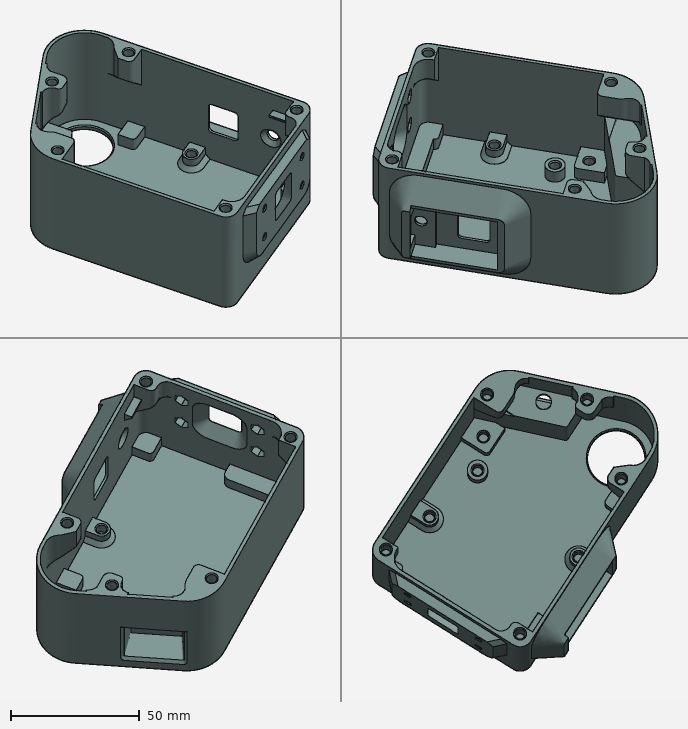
import cadquery as cq
import math

overall_length = 112.0
overall_width = 82.5
height = 48.4
body_length = 108.1
body_width = 72.2
wall = 1.5
floor = 2.0
reach = 44.8

corner_radius = 5.0
hub_radius = 16.2
nose_radius = 16.0
slant_angle = 20.0
slant_cos = math.cos(math.radians(slant_angle))
slant_sin = math.sin(math.radians(slant_angle))

hub = (hub_radius, body_width - hub_radius)
slant_offset = slant_cos * hub[0] + slant_sin * hub[1] - hub_radius
nose = ((slant_offset + nose_radius * (1 - slant_sin)) / slant_cos, nose_radius)

back_inside = body_width - wall
right_inside = body_length - wall

screw_diameter = 4.0
screw_entry_diameter = 5.0
screw_entry_depth = (screw_entry_diameter - screw_diameter) / 2
post_screw_depth = 10.1
block_screw_depth = 5.0

post_left_x = 33.7
post_right_x = 99.7
post_length = 10.1
front_left_post_length = 13.8
post_tip_height = 10.5
post_rounding = 2.2
back_right_cove = 4.0
front_right_post_length = 8.7
front_right_cove = 5.8
side_post_x = 15.8
side_post_y = (36.2, 43.9)

screw_left_x = 29.9
screw_right_x = 102.9
screw_edge = 5.2
post_screws = [
    (screw_left_x, screw_edge),
    (screw_right_x, screw_edge),
    (screw_left_x, body_width - screw_edge),
    (screw_right_x, body_width - screw_edge),
    (10.6, 39.0),
]

block_top = 7.5
block_rounding = 1.7
block_left_x = 35.0
block_right_x = 97.9
screw_block_x = 42.9
shelf_y = 32.9
block_screw = (37.9, 8.5)
back_boss = (58.0, 65.4)
front_boss = (75.8, 8.0)
boss_radius = 3.5
boss_foot = 1.9
round_boss = (50.3, 13.8)
round_boss_diameter = 8.0

floor_hole_diameter = 22.3
floor_hole_rim_diameter = 23.3

ledge_x = (90.7, post_right_x)
ledge_depth = 3.2
ledge_top = 39.9
ledge_lip = 1.0

flank_start = (27.7, body_width - post_length)
flank_end = (23.5, 67.0)
flank_cove_mid = (22.3, 69.0)
flank_cove_x = 19.0
nose_shoulder_x = 25.2
nose_dip_start = (22.3, 13.0)
nose_dip = (19.6, 12.4)
nose_dip_end = (15.9, 15.2)
side_roundings = (1.7, 3.0)
side_cove_x = (13.9, 7.4)
side_cove_high = (4.5, 47.0)
side_cove_mid = (5.6, 45.1)
side_cove_low = (10.1, 31.7)
front_block_y = 10.4
shelf_rounding = 2.8
housing_rounding = 1.1

recess_center_y = 21.4
recess_bottom = 5.6
recess_top = 27.2
recess_depth = 12.3
recess_mouth_width = 23.5
recess_back_width = 20.2
recess_bevel = 1.2
recess_rounding = 0.6
roof_clip_x = 28.0
finger_hole = (17.1, 23.1)
finger_hole_diameter = 6.0

inlet_y = (9.9, 64.3)
inlet_bottom = 12.3
inlet_top = 44.5
inlet_rounding = 9.1
inlet_chamfer_y = 2.8
inlet_chamfer_z = 2.2
inlet_center_y = 37.3
inlet_center_z = 30.9
inlet_inner_size = (23.4, 23.3)
inlet_inner_rounding = 6.6
inlet_outer_size = (13.9, 15.0)
inlet_outer_rounding = 1.5
nut_spacing_y = 32.6
nut_spacing_z = 15.2
nut_flats = 5.5
nut_depth = 4.7
nut_screw_diameter = 3.2

socket_x = (46.3, 102.8)
socket_center_z = 24.3
socket_height = 45.5
socket_left_rounding = 11.2
socket_right_rounding = 12.2
socket_right_run = 7.4
socket_tip_rounding = 1.1
socket_step_x = 92.2
socket_face_y = 80.7
socket_pocket_left = 57.7
socket_pocket_height = 25.8
catch_depth = 1.7
catch_height = 15.8
catch_end_y = 81.6
window_x = (62.7, 75.6)
window_z = (16.6, 31.6)
window_rounding = 1.7
window_wall = 1.0
countersink_x = 89.8
countersink_diameter = 8.8
bore_diameter = 5.0
pad_left_x = 84.0
pad_depth = 3.0


def block(x, y, z):
    """Box between the given (low, high) limits on each axis."""
    size = (x[1] - x[0], y[1] - y[0], z[1] - z[0])
    return cq.Workplane("XY").box(*size, centered=False).translate((x[0], y[0], z[0]))


def enclosure(inset, bottom):
    """Solid of the enclosure outline, moved inwards by inset, from bottom to the rim."""
    hub_r = hub_radius - inset
    nose_r = nose_radius - inset
    corner_r = corner_radius - inset
    right = body_length - inset
    back = body_width - inset
    right_center = body_length - corner_radius
    slant_normal = 180 + slant_angle
    hub_mid = math.radians((90 + slant_normal) / 2)
    nose_mid = math.radians((270 + slant_normal) / 2)
    return (
        cq.Workplane("XY", origin=(0, 0, bottom))
        .moveTo(nose[0], inset)
        .lineTo(right_center, inset)
        .radiusArc((right, corner_radius), -corner_r)
        .lineTo(right, body_width - corner_radius)
        .radiusArc((right_center, back), -corner_r)
        .lineTo(hub[0], back)
        .threePointArc(
            (hub[0] + hub_r * math.cos(hub_mid), hub[1] + hub_r * math.sin(hub_mid)),
            (hub[0] - hub_r * slant_cos, hub[1] - hub_r * slant_sin),
        )
        .lineTo(nose[0] - nose_r * slant_cos, nose[1] - nose_r * slant_sin)
        .threePointArc(
            (nose[0] + nose_r * math.cos(nose_mid), nose[1] + nose_r * math.sin(nose_mid)),
            (nose[0], inset),
        )
        .close()
        .extrude(height - bottom)
    )


def slant_point(y):
    """Point of the outer slanted wall plane at the given y."""
    return ((slant_offset - slant_sin * y) / slant_cos, y)


def under_overhang(solid, origin, inward, tip):
    """Undercut a post: 45 degrees up from the wall plane at origin, level beyond the tip distance."""
    tip_z = height - post_tip_height
    plane = cq.Plane(
        origin=(origin[0], origin[1], 0),
        xDir=(inward[0], inward[1], 0),
        normal=(inward[1], -inward[0], 0),
    )
    profile = [(0, height), (reach, height), (reach, tip_z), (tip, tip_z), (0, tip_z - tip)]
    return solid.intersect(cq.Workplane(plane).polyline(profile).close().extrude(reach, both=True))


def full_height(outline):
    """Close an outline and extrude it from the underside to the rim."""
    return outline.close().extrude(height)


def mirror_y(solid):
    """Mirror a solid about the mid-width plane."""
    return solid.mirror("XZ", (0, body_width / 2, 0))


def right_post(length, cove):
    """Post in the front-right corner with a concave blend into the right wall."""
    post = block((post_right_x, body_length), (0, length), (0, height))
    blend = block((right_inside - cove, body_length), (length, length + cove), (0, height))
    hollow = cq.Workplane("XY").center(right_inside - cove, length + cove).circle(cove).extrude(height)
    return post, blend.cut(hollow)


def front_right_post():
    """Square-edged post with a wide blend into the right wall."""
    post, blend = right_post(front_right_post_length, front_right_cove)
    return under_overhang(post.union(blend), (body_length, 0), (0, 1), front_right_post_length)


def back_right_post():
    """Post with a rounded edge, built in front and mirrored to the back."""
    post, blend = right_post(post_length, back_right_cove)
    post = post.edges("|Z and <X and >Y").fillet(post_rounding)
    return mirror_y(under_overhang(post.union(blend), (body_length, 0), (0, 1), post_length))


def back_left_post():
    """Post whose left flank is hollowed around the hub."""
    tip_y = body_width - post_length
    outline = (
        cq.Workplane("XY")
        .moveTo(post_left_x, body_width)
        .lineTo(post_left_x, tip_y + post_rounding)
        .radiusArc((post_left_x - post_rounding, tip_y), post_rounding)
        .lineTo(*flank_start)
        .lineTo(*flank_end)
        .threePointArc(flank_cove_mid, (flank_cove_x, back_inside))
        .lineTo(flank_cove_x, body_width)
    )
    return under_overhang(full_height(outline), (post_left_x, body_width), (0, -1), post_length)


def front_left_post():
    """Large post that fills the nose and blends into the slanted wall."""
    tip_y = front_left_post_length
    outline = (
        cq.Workplane("XY")
        .moveTo(post_left_x, 0)
        .lineTo(post_left_x, tip_y - post_rounding)
        .radiusArc((post_left_x - post_rounding, tip_y), -post_rounding)
        .lineTo(nose_shoulder_x, tip_y)
        .tangentArcPoint(nose_dip_start, relative=False)
        .threePointArc(nose_dip, nose_dip_end)
        .lineTo(*slant_point(nose_dip_end[1]))
        .lineTo(*slant_point(0))
    )
    return under_overhang(full_height(outline), (post_left_x, 0), (0, 1), tip_y)


def side_post():
    """Post on the slanted wall, blended into it on both sides."""
    low_y, high_y = side_post_y
    tip = slant_cos * side_post_x + slant_sin * high_y - slant_offset
    outline = (
        cq.Workplane("XY")
        .moveTo(*slant_point(side_cove_high[1]))
        .lineTo(*side_cove_high)
        .threePointArc(side_cove_mid, (side_cove_x[1], high_y))
        .lineTo(side_post_x - side_roundings[1], high_y)
        .radiusArc((side_post_x, high_y - side_roundings[1]), side_roundings[1])
        .lineTo(side_post_x, low_y + side_roundings[0])
        .radiusArc((side_post_x - side_roundings[0], low_y), side_roundings[0])
        .lineTo(side_cove_x[0], low_y)
        .tangentArcPoint(side_cove_low, relative=False)
        .lineTo(*slant_point(side_cove_low[1]))
    )
    return under_overhang(full_height(outline), slant_point(low_y), (slant_cos, slant_sin), tip)


def floor_blocks():
    """Low supports on the floor: corner blocks, screw block, shelf, bosses."""
    levels = (0, block_top)
    back_y = body_width - post_length
    back_right = block((block_right_x, body_length), (back_y, body_width), levels)
    back_left = block((flank_start[0], block_left_x), (back_y, body_width), levels)
    front_right = block((block_right_x, body_length), (0, front_block_y), levels)
    screw_block = block((nose[0], screw_block_x), (0, front_left_post_length), levels)
    shelf = block((post_right_x, body_length), (0, shelf_y), levels)
    blocks = back_right.edges("|Z and <X and <Y").fillet(block_rounding)
    blocks = blocks.union(back_left.edges("|Z and >X and <Y").fillet(block_rounding))
    blocks = blocks.union(front_right.edges("|Z and <X and >Y").fillet(block_rounding))
    blocks = blocks.union(screw_block.edges("|Z and >X and >Y").fillet(block_rounding))
    blocks = blocks.union(shelf.edges("|Z and <X and >Y").fillet(shelf_rounding))
    pillar = cq.Workplane("XY").center(*round_boss).circle(round_boss_diameter / 2).extrude(block_top)
    return blocks.union(pillar)


def wall_boss(center, wall_y):
    """Round-ended boss running to a wall, with a foot flared at 45 degrees."""
    x, y = center
    side = math.copysign(1, y - wall_y)

    def rounded(radius, bottom):
        return (
            cq.Workplane("XY", origin=(0, 0, bottom))
            .moveTo(x - radius, wall_y - side * boss_foot)
            .lineTo(x - radius, y)
            .threePointArc((x, y + side * radius), (x + radius, y))
            .lineTo(x + radius, wall_y - side * boss_foot)
            .close()
        )

    foot = rounded(boss_radius + boss_foot, floor).extrude(boss_foot, taper=45)
    return rounded(boss_radius, floor).extrude(block_top - floor).union(foot)


def ledge():
    """Small shelf on the back wall beside the right post, with a 45 degree underside."""
    front_y = back_inside - ledge_depth
    lip_z = ledge_top - ledge_lip
    profile = [
        (back_inside, ledge_top),
        (front_y, ledge_top),
        (front_y, lip_z),
        (back_inside, lip_z - ledge_depth),
    ]
    length = ledge_x[1] - ledge_x[0]
    return cq.Workplane("YZ", origin=(ledge_x[0], 0, 0)).polyline(profile).close().extrude(length)


def switch_housing():
    """Solid behind the slanted wall that the switch recess is cut into."""
    back_y = side_post_y[0]
    inner_offset = slant_offset + recess_depth + wall

    def inner_x(y):
        return (inner_offset - slant_sin * y) / slant_cos

    outline = [
        slant_point(back_y),
        (inner_x(back_y), back_y),
        (inner_x(0), 0),
        slant_point(0),
    ]
    housing = cq.Workplane("XY").polyline(outline).close().extrude(recess_top + wall)
    housing = housing.edges("|Z and >Y and (not <X)").fillet(housing_rounding)
    roof_levels = (recess_top, recess_top + wall)
    return housing.cut(block((roof_clip_x, body_length), (0, body_width), roof_levels))


def switch_recess():
    """Drafted pocket entered from the slanted wall, with bevelled sides and bottom edge."""
    x, y = slant_point(recess_center_y)
    along = (-slant_sin, slant_cos, 0)
    inward = (slant_cos, slant_sin, 0)
    plane = cq.Plane(origin=(x, y, 0), xDir=along, normal=inward)
    recess_height = recess_top - recess_bottom
    center_z = (recess_top + recess_bottom) / 2
    pocket = (
        cq.Workplane(plane)
        .center(0, center_z)
        .rect(recess_mouth_width, recess_height)
        .workplane(offset=recess_depth)
        .rect(recess_back_width, recess_height)
        .loft(ruled=True)
    )
    side_edges = cq.selectors.InverseSelector(cq.selectors.ParallelDirSelector(cq.Vector(*along)))
    pocket = pocket.faces("<Z").edges(side_edges).fillet(recess_rounding)
    margin = recess_bevel
    growth = recess_bevel + margin
    plug_height = 2 * recess_height
    plug = cq.Sketch().rect(recess_mouth_width + 2 * growth, plug_height + 2 * growth)
    bevel = (
        cq.Workplane(plane)
        .workplane(offset=-margin)
        .center(0, recess_bottom + plug_height / 2)
        .placeSketch(plug.vertices().fillet(growth + recess_rounding))
        .extrude(growth, taper=45)
        .intersect(block((-reach, reach), (-reach, body_width), (0, recess_top)))
    )
    return pocket.union(bevel)


def loft_sections(first, second):
    """Straight-sided solid between two closed outlines."""
    wires = [first.val(), second.val()]
    return cq.Workplane(obj=cq.Solid.makeLoft(wires, True))


def inlet_hood():
    """Tapered hood on the right wall, flat on top."""

    def section(x, spread):
        left, right = inlet_y[0] - spread, inlet_y[1] + spread
        low = inlet_bottom - spread
        radius = inlet_rounding + spread
        return (
            cq.Workplane("YZ", origin=(x, 0, 0))
            .moveTo(left + radius, low)
            .lineTo(right - radius, low)
            .radiusArc((right, low + radius), -radius)
            .lineTo(right, inlet_top - inlet_chamfer_z)
            .lineTo(right - inlet_chamfer_y, inlet_top)
            .lineTo(left + inlet_chamfer_y, inlet_top)
            .lineTo(left, inlet_top - inlet_chamfer_z)
            .lineTo(left, low + radius)
            .radiusArc((left + radius, low), -radius)
            .close()
        )

    rise = overall_length - body_length
    return loft_sections(section(body_length - wall, wall), section(overall_length, -rise))


def inlet_cuts():
    """Flared opening and four nut traps through the right wall."""
    depth = overall_length - right_inside
    inner = cq.Sketch().rect(*inlet_inner_size).vertices().fillet(inlet_inner_rounding)
    outer = cq.Sketch().rect(*inlet_outer_size).vertices().fillet(inlet_outer_rounding)
    outer = outer.moved(cq.Location(cq.Vector(0, 0, depth)))
    start = cq.Workplane("YZ", origin=(right_inside, inlet_center_y, inlet_center_z))
    opening = start.placeSketch(inner, outer).loft(ruled=True)
    nuts = (
        start.rarray(nut_spacing_y, nut_spacing_z, 2, 2)
        .polygon(6, nut_flats, circumscribed=True)
        .extrude(nut_depth)
    )
    screws = start.rarray(nut_spacing_y, nut_spacing_z, 2, 2).circle(nut_screw_diameter / 2).extrude(depth)
    return opening.union(nuts).union(screws)


def socket_housing():
    """Tapered housing on the back wall; its right end rises to the full width."""
    low = socket_center_z - socket_height / 2
    high = socket_center_z + socket_height / 2

    def section(y, inset, right_inset, right_r):
        left, right = socket_x[0] + inset, socket_x[1] - right_inset
        bottom, top = low + inset, high - inset
        left_r = socket_left_rounding - inset
        return (
            cq.Workplane("XZ", origin=(0, y, 0))
            .moveTo(left + left_r, bottom)
            .lineTo(right - right_r, bottom)
            .radiusArc((right, bottom + right_r), -right_r)
            .lineTo(right, top - right_r)
            .radiusArc((right - right_r, top), -right_r)
            .lineTo(left + left_r, top)
            .radiusArc((left, top - left_r), -left_r)
            .lineTo(left, bottom + left_r)
            .radiusArc((left + left_r, bottom), -left_r)
            .close()
        )

    rise = overall_width - body_width
    housing = loft_sections(
        section(body_width, 0, 0, socket_right_rounding),
        section(overall_width, rise, socket_right_run, socket_tip_rounding),
    )
    step = block((0, socket_step_x), (socket_face_y, overall_width), (0, height))
    return housing.cut(step)


def socket_cuts():
    """Outer pocket with its catch, window and countersunk hole through the back wall."""

    def levels(size):
        return (socket_center_z - size / 2, socket_center_z + size / 2)

    pocket_x = (socket_pocket_left, socket_step_x)
    floor_y = back_inside + window_wall
    pad_x = (pad_left_x, socket_step_x)
    pad_y = back_inside + pad_depth
    catch_x = (socket_step_x, socket_step_x + catch_depth)
    pocket = block(pocket_x, (floor_y, overall_width), levels(socket_pocket_height))
    pocket = pocket.cut(block(pad_x, (floor_y, pad_y), levels(socket_pocket_height)))
    catch = block(catch_x, (pad_y, catch_end_y), levels(catch_height))
    window = block(window_x, (back_inside, floor_y), window_z)
    window = window.edges("|Y").fillet(window_rounding)
    start = cq.Workplane("XZ", origin=(countersink_x, back_inside, socket_center_z))
    sink_depth = (countersink_diameter - bore_diameter) / 2
    sink = start.circle(countersink_diameter / 2).extrude(-sink_depth, taper=45)
    bore = start.circle(bore_diameter / 2).extrude(-pad_depth)
    return pocket.union(catch).union(window).union(sink).union(bore)


def screw_hole(center, top, depth):
    """Blind screw hole with a conical entry."""
    entry = cq.Solid.makeCone(
        screw_diameter / 2,
        screw_entry_diameter / 2,
        screw_entry_depth,
        cq.Vector(*center, top - screw_entry_depth),
    )
    hole = cq.Workplane("XY", origin=(*center, top - depth)).circle(screw_diameter / 2).extrude(depth)
    return hole.union(cq.Workplane(obj=entry))


def floor_hole():
    """Large hole through the floor at the hub, with a bevelled upper rim."""
    hole = cq.Workplane("XY").center(*hub).circle(floor_hole_diameter / 2).extrude(floor)
    rim_radius = floor_hole_rim_diameter / 2
    bevel = rim_radius - floor_hole_diameter / 2
    rim = cq.Solid.makeCone(rim_radius - bevel, rim_radius, bevel, cq.Vector(*hub, floor - bevel))
    return hole.union(cq.Workplane(obj=rim))


inside = floor_blocks().union(switch_housing()).union(ledge())
for post in (front_right_post(), back_right_post(), back_left_post(), front_left_post(), side_post()):
    inside = inside.union(post)
inside = inside.union(wall_boss(back_boss, back_inside)).union(wall_boss(front_boss, wall))
inside = inside.intersect(enclosure(0, 0))

result = enclosure(0, 0).cut(enclosure(wall, floor))
result = result.union(inside).union(inlet_hood().cut(enclosure(wall, floor))).union(socket_housing())
result = result.cut(switch_recess()).cut(inlet_cuts()).cut(socket_cuts()).cut(floor_hole())
for center in post_screws:
    result = result.cut(screw_hole(center, height, post_screw_depth))
for center in (block_screw, back_boss, front_boss, round_boss):
    result = result.cut(screw_hole(center, block_top, block_screw_depth))
result = result.cut(
    cq.Workplane("XY", origin=(*finger_hole, recess_bottom))
    .circle(finger_hole_diameter / 2)
    .extrude(recess_top + wall - recess_bottom)
)